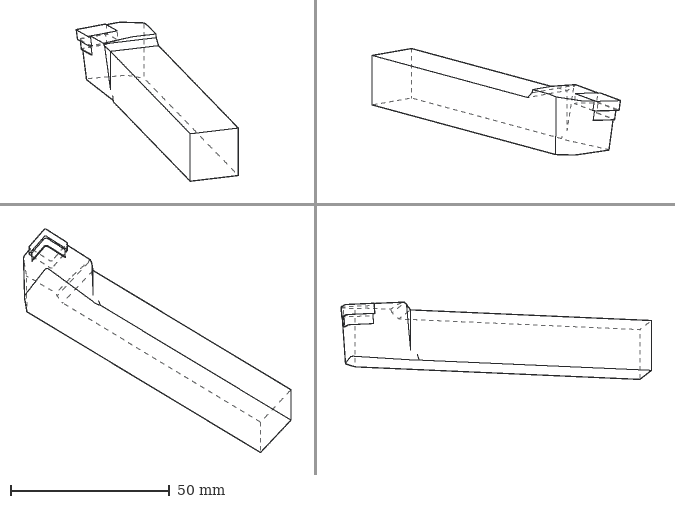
import math

import cadquery as cq

TOOL_LENGTH = 100.0
SHANK_SIZE = 16.0
SHANK_START = 22.0

TIP_X = -0.036
TIP_Y = -20.1
TIP_Z = SHANK_SIZE
HEAD_HEIGHT = 19.0
TOP_SLOPE = 0.095

CORNER_ANGLE = 80.0
LEAD_ANGLE = (90.0 - CORNER_ANGLE) / 2
INSCRIBED_DIAMETER = 9.5
INSERT_THICKNESS = 3.2
INSERT_CORNER_RADIUS = 0.4
SHIM_THICKNESS = 3.2
SHIM_INSET = 0.5
SHIM_CORNER_RADIUS = 0.8

HEAD_INSET = 0.8
HEAD_CORNER_RADIUS = 0.8
CHAMFER_START = 8.0
CHAMFER_BLEND_RADIUS = 3.0
REAR_TOP_X = 19.4
RAMP_TOP_X = 19.8
RAMP_TOP_Z = 17.9
NECK_WIDENING = 1.9
RELIEF_X = 23.0
RELIEF_DEPTH = 0.34
RELIEF_RADIUS = 4.5
MARGIN = 30.0

tip_plane = cq.Plane(
    origin=(TIP_X, TIP_Y, TIP_Z), xDir=(1, 0, TOP_SLOPE), normal=(-TOP_SLOPE, -TOP_SLOPE, 1)
)
lead = math.radians(LEAD_ANGLE)
front_edge = (math.cos(lead), math.sin(lead))
left_edge = (math.sin(lead), math.cos(lead))


def edge_point(along_front, along_left):
    """Point in the tip plane, measured along the two cutting edges."""
    return (
        along_front * front_edge[0] + along_left * left_edge[0],
        along_front * front_edge[1] + along_left * left_edge[1],
    )


def rhombic_plate(inset, depth, thickness, radius):
    """Plate parallel to the tip plane, inset from the insert's outline."""
    corner_sine = math.sin(math.radians(CORNER_ANGLE))
    near = inset / corner_sine
    far = (INSCRIBED_DIAMETER - inset) / corner_sine
    corners = [edge_point(near, near), edge_point(far, near), edge_point(far, far), edge_point(near, far)]
    return (
        cq.Workplane(tip_plane).workplane(offset=-depth)
        .polyline(corners).close().extrude(-thickness)
        .edges(cq.selectors.ParallelDirSelector(tip_plane.zDir)).fillet(radius)
    )


def tilted_prism():
    """Head outline swept square to the tip plane."""
    near = HEAD_INSET / math.sin(math.radians(CORNER_ANGLE))
    corner = edge_point(near, near)
    chamfer_offset = TIP_X - TIP_Y - CHAMFER_START
    left_slope = math.tan(lead)
    left_u = (corner[0] + left_slope * (chamfer_offset - corner[1])) / (1 - left_slope)
    chamfer_corner = (left_u, left_u + chamfer_offset)
    outline = [
        corner,
        edge_point(MARGIN, near),
        (MARGIN, MARGIN + chamfer_offset),
        chamfer_corner,
    ]
    prism = cq.Workplane(tip_plane).polyline(outline).close().extrude(-MARGIN)

    def upright_at(point):
        middle = tip_plane.toWorldCoords((point[0], point[1], -MARGIN / 2))
        return cq.selectors.NearestToPointSelector(middle.toTuple())

    prism = prism.edges(upright_at(corner)).fillet(HEAD_CORNER_RADIUS)
    return prism.edges(upright_at(chamfer_corner)).fillet(CHAMFER_BLEND_RADIUS)


def make_head():
    """Head bounded by its tilted outline, the ramp and the neck side."""
    side_outline = [
        (0, 0), (SHANK_START, 0), (SHANK_START, SHANK_SIZE),
        (RAMP_TOP_X, RAMP_TOP_Z), (REAR_TOP_X, HEAD_HEIGHT), (0, HEAD_HEIGHT),
    ]
    side_block = cq.Workplane("XZ").polyline(side_outline).close().extrude(MARGIN)
    ramp_length = SHANK_START - RAMP_TOP_X
    neck_slope = NECK_WIDENING / ramp_length
    plan_outline = [
        (0, 0), (SHANK_START, 0), (SHANK_START, -SHANK_SIZE),
        (0, -SHANK_SIZE - neck_slope * SHANK_START),
    ]
    plan_block = cq.Workplane("XY").polyline(plan_outline).close().extrude(MARGIN)
    return side_block.intersect(plan_block).intersect(tilted_prism())


def make_relief():
    """Cylinder square to the tip plane that hollows the lower front of the shank."""
    axis_plane = cq.Plane(
        origin=(RELIEF_X, -SHANK_SIZE + RELIEF_DEPTH - RELIEF_RADIUS, 0),
        xDir=tip_plane.xDir, normal=tip_plane.zDir,
    )
    return cq.Workplane(axis_plane).circle(RELIEF_RADIUS).extrude(MARGIN, both=True)


insert = rhombic_plate(0, 0, INSERT_THICKNESS, INSERT_CORNER_RADIUS)
shim = rhombic_plate(SHIM_INSET, INSERT_THICKNESS, SHIM_THICKNESS, SHIM_CORNER_RADIUS)

shank = cq.Workplane("XY").box(TOOL_LENGTH - SHANK_START, SHANK_SIZE, SHANK_SIZE, centered=False)
shank = shank.translate((SHANK_START, -SHANK_SIZE, 0))

holder = shank.union(make_head()).cut(make_relief()).union(shim).cut(insert)

result = cq.Compound.makeCompound([holder.solids().val(), insert.val()])